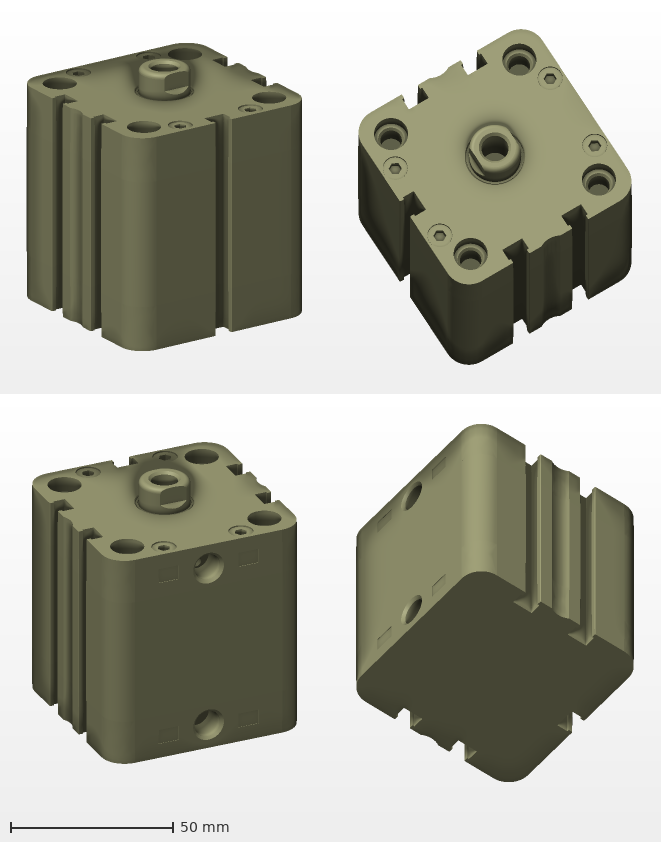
import cadquery as cq
import math

side = 65.5
total_height = 78.0
cover_height = 14.5
tube_height = 40.95
body_height = tube_height + 2 * cover_height
tube_bottom = cover_height
tube_top = tube_bottom + tube_height
corner_radius = 7.8
cover_draft_angle = 0.5

slot_mouth = 5.5
slot_width = 6.95
slot_lip = 1.7
slot_mouth_chamfer = 0.2
slot_depth = 5.4
slot_offset = 10.7

groove_width = 6.7
groove_depth = 0.9

mount_offset = 23.25
mount_bore_diameter = 10.5
mount_bore_depth = 5.0
thread_diameter = 6.6
thread_mouth_diameter = 8.0
thread_depth = 7.8

screw_x = 28.1
screw_y = 13.0
screw_recess_diameter = 7.7
screw_head_diameter = 7.5
screw_recess_depth = 0.4
screw_gap_depth = 0.8
hex_flats = 3.5
hex_depth = 2.7

port_end_distance = 7.95
port_diameter = 8.6
port_mouth_diameter = 10.5
port_depth = 9.35
air_hole_diameter = 3.5
air_hole_drop = 1.95
air_hole_depth = 6.25

label_width = 6.8
label_height = 4.75
label_offset = 13.5
label_end_distance = 7.25
label_depth = 0.2

rod_diameter = 16.0
rod_edge_radius = 1.55
rod_flats = 13.25
rod_flat_length = 5.4
rod_flat_overrun = 0.8
rod_thread_diameter = 8.35
rod_thread_mouth_diameter = 10.0
rod_thread_depth = 15.6

wiper_mouth_diameter = 18.65
wiper_seat_diameter = 18.0
wiper_ring_diameter = 17.7
wiper_lip_diameter = 16.5
wiper_ring_depth = 0.3
wiper_gap_depth = 0.8


def block(height):
    """Square block with rounded vertical corners, standing on z = 0."""
    plain = cq.Workplane("XY").box(side, side, height, centered=(True, True, False))
    return plain.edges("|Z").fillet(corner_radius)


def t_slot(height):
    """T-slot cutter with a chamfered mouth for the middle of the +X face."""
    face = side / 2
    lip_back = face - slot_lip
    floor = face - slot_depth
    half_mouth = slot_mouth / 2
    half_edge = half_mouth + slot_mouth_chamfer
    half_channel = slot_width / 2
    upper_half = [
        (face, half_edge),
        (face - slot_mouth_chamfer, half_mouth),
        (lip_back, half_mouth),
        (lip_back, half_channel),
        (floor, half_channel),
    ]
    lower_half = [(x, -y) for x, y in reversed(upper_half)]
    return cq.Workplane("XY").polyline(upper_half + lower_half).close().extrude(height)


def round_groove(height):
    """Cutter for the shallow groove in the middle of the +Y face."""
    face = side / 2
    half = groove_width / 2
    return (
        cq.Workplane("XY")
        .moveTo(-half, face)
        .threePointArc((0, face - groove_depth), (half, face))
        .close()
        .extrude(height)
    )


def profile(height):
    """Block with the slots and grooves along its full height."""
    slot = t_slot(height)
    body = block(height).cut(slot)
    for turn in (90, -90):
        face_slot = slot.rotate((0, 0, 0), (0, 0, 1), turn)
        for x in (-slot_offset, slot_offset):
            body = body.cut(face_slot.translate((x, 0, 0)))
    groove = round_groove(height)
    return body.cut(groove).cut(groove.mirror("XZ"))


def hole_down(diameter, mouth_diameter, depth, top):
    """Blind-hole cutter with a 45 degree chamfer at its mouth, going down from z = top."""
    chamfer = (mouth_diameter - diameter) / 2
    return (
        cq.Workplane("XZ")
        .polyline([
            (0, top),
            (mouth_diameter / 2, top),
            (diameter / 2, top - chamfer),
            (diameter / 2, top - depth),
            (0, top - depth),
        ])
        .close()
        .revolve(360, (0, 0, 0), (0, 1, 0))
    )


def cylinder_down(diameter, depth, top):
    """Plain cylinder going down from z = top."""
    return cq.Workplane("XY").workplane(offset=top - depth).circle(diameter / 2).extrude(depth)


def port(z):
    """Air port cutter going in from the -X face."""
    cutter = hole_down(port_diameter, port_mouth_diameter, port_depth, 0)
    return cutter.rotate((0, 0, 0), (0, 1, 0), -90).translate((-side / 2, 0, z))


def labels(z):
    """Two label recess cutters in the -X face."""
    return (
        cq.Workplane("XY")
        .pushPoints([(-side / 2, -label_offset), (-side / 2, label_offset)])
        .box(2 * label_depth, label_width, label_height)
        .translate((0, 0, z))
    )


def mount_hole():
    """Counterbored, chamfered thread-hole cutter in the top face."""
    bore = cylinder_down(mount_bore_diameter, mount_bore_depth, body_height)
    thread = hole_down(thread_diameter, thread_mouth_diameter, thread_depth, body_height - mount_bore_depth)
    return bore.union(thread)


def screw_outline():
    """Cutter that leaves a sunk socket-screw head with a thin gap around it."""
    recess = cylinder_down(screw_recess_diameter, screw_recess_depth, body_height)
    head = cylinder_down(screw_head_diameter, screw_gap_depth, body_height)
    gap = cylinder_down(screw_recess_diameter, screw_gap_depth, body_height).cut(head)
    socket = (
        cq.Workplane("XY")
        .workplane(offset=body_height - hex_depth)
        .polygon(6, hex_flats / math.cos(math.pi / 6))
        .extrude(hex_depth)
        .rotate((0, 0, 0), (0, 0, 1), 90)
    )
    return recess.union(gap).union(socket)


def rod_opening():
    """Through opening for the rod, stepped at the top to leave a sunk wiper ring."""
    mouth_chamfer = (wiper_mouth_diameter - wiper_seat_diameter) / 2
    ring_top = body_height - wiper_ring_depth
    gap_floor = body_height - wiper_gap_depth
    return (
        cq.Workplane("XZ")
        .polyline([
            (0, body_height),
            (wiper_mouth_diameter / 2, body_height),
            (wiper_seat_diameter / 2, body_height - mouth_chamfer),
            (wiper_seat_diameter / 2, gap_floor),
            (wiper_ring_diameter / 2, gap_floor),
            (wiper_ring_diameter / 2, ring_top),
            (wiper_lip_diameter / 2, ring_top),
            (wiper_lip_diameter / 2, gap_floor),
            (rod_diameter / 2, gap_floor),
            (rod_diameter / 2, tube_top),
            (0, tube_top),
        ])
        .close()
        .revolve(360, (0, 0, 0), (0, 1, 0))
    )


def drafted_cover():
    """Cover blank standing on z = 0 that narrows upward by the draft angle."""
    outline = profile(cover_height).faces("<Z").wires().val()
    return cq.Workplane("XY").add(outline).toPending().extrude(cover_height, taper=cover_draft_angle)


def make_top_cover():
    """Top cover with mounting holes, screw heads, an air port, labels and the rod opening."""
    cover = drafted_cover().translate((0, 0, tube_top))
    for sx in (-1, 1):
        for sy in (-1, 1):
            cover = cover.cut(mount_hole().translate((sx * mount_offset, sy * mount_offset, 0)))
            cover = cover.cut(screw_outline().translate((sx * screw_x, sy * screw_y, 0)))
    port_z = body_height - port_end_distance
    air_hole = (
        cq.Workplane("YZ")
        .workplane(offset=port_depth - side / 2)
        .center(0, port_z - air_hole_drop)
        .circle(air_hole_diameter / 2)
        .extrude(air_hole_depth)
    )
    cover = cover.cut(port(port_z)).cut(air_hole)
    return cover.cut(labels(body_height - label_end_distance)).cut(rod_opening())


def make_bottom_cover():
    """Bottom cover, drafted downward, with an air port and labels."""
    cover = drafted_cover().mirror("XY").translate((0, 0, cover_height))
    cover = cover.cut(port(port_end_distance))
    return cover.cut(labels(label_end_distance))


def make_tube():
    """Slotted tube body between the two covers."""
    return profile(tube_height).translate((0, 0, tube_bottom))


def make_rod():
    """Rod with two wrench flats that run out in 45 degree slopes, and a threaded end."""
    length = total_height - tube_top
    rod = cylinder_down(rod_diameter, length, total_height)
    rod = rod.faces(">Z").edges().fillet(rod_edge_radius)
    flat_end = total_height - rod_flat_length
    half = rod_flats / 2
    reach = rod_diameter / 2 - half + rod_flat_overrun
    flat = (
        cq.Workplane("XZ")
        .polyline([
            (half, total_height),
            (half, flat_end),
            (half + reach, flat_end - reach),
            (half + reach, total_height),
        ])
        .close()
        .extrude(rod_diameter / 2, both=True)
    )
    rod = rod.cut(flat).cut(flat.mirror("YZ"))
    return rod.cut(hole_down(rod_thread_diameter, rod_thread_mouth_diameter, rod_thread_depth, total_height))


top_cover = make_top_cover()
tube = make_tube()
bottom_cover = make_bottom_cover()
rod = make_rod()

result = cq.Compound.makeCompound([
    top_cover.solids().val(),
    tube.solids().val(),
    bottom_cover.solids().val(),
    rod.solids().val(),
])